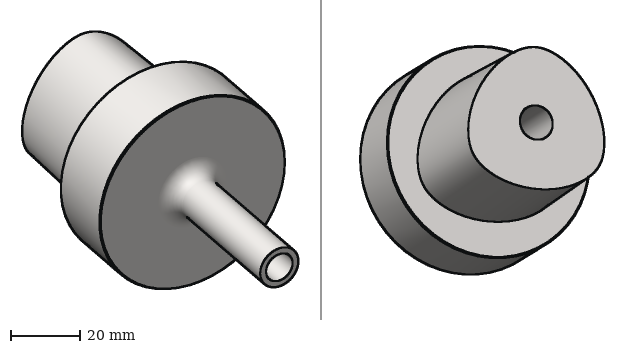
import cadquery as cq
import math

shank_length = 38.0
flange_length = 22.0
stem_length = 48.0

shank_mean_diameter = 44.2
taper_ratio = 1 / 20
lobe_eccentricity = 1.36
profile_points = 48

flange_diameter = 63.0
flange_chamfer = 0.3
stem_diameter = 13.0
stem_root_fillet = 5.0

bore_diameter = 9.0
counterbore_diameter = 10.2
counterbore_depth = shank_length

tip_mean_diameter = shank_mean_diameter - taper_ratio * shank_length
end_x = flange_length + stem_length


def lobe_profile(mean_diameter):
    """Points of a three-lobed curve of constant width with one lobe toward +Z."""
    mean_radius = mean_diameter / 2
    points = []
    for i in range(profile_points):
        angle = 2 * math.pi * i / profile_points
        y = (
            mean_radius * math.sin(angle)
            - 2 * lobe_eccentricity * math.sin(2 * angle)
            - lobe_eccentricity * math.sin(4 * angle)
        )
        z = (
            mean_radius * math.cos(angle)
            + 2 * lobe_eccentricity * math.cos(2 * angle)
            - lobe_eccentricity * math.cos(4 * angle)
        )
        points.append((y, z))
    return points


def cylinder(diameter, start_x, length):
    """Cylinder on the X axis running from start_x toward +X."""
    return cq.Workplane("YZ", origin=(start_x, 0, 0)).circle(diameter / 2).extrude(length)


def tapered_shank():
    """Loft from the smaller free end to the larger end at the flange."""
    return (
        cq.Workplane("YZ", origin=(-shank_length, 0, 0))
        .spline(lobe_profile(tip_mean_diameter), periodic=True)
        .close()
        .workplane(offset=shank_length)
        .spline(lobe_profile(shank_mean_diameter), periodic=True)
        .close()
        .loft(ruled=True)
    )


def flange():
    """Disc with both rims chamfered."""
    return cylinder(flange_diameter, 0, flange_length).faces("<X or >X").edges().chamfer(flange_chamfer)


def stem():
    """Round stem that flares into the flange through a concave quarter-round."""
    stem_radius = stem_diameter / 2
    flare_radius = stem_radius + stem_root_fillet
    flare_end_x = flange_length + stem_root_fillet
    arc_offset = stem_root_fillet * (1 - math.sqrt(0.5))
    return (
        cq.Workplane("XY")
        .moveTo(flange_length, 0)
        .lineTo(flange_length, flare_radius)
        .threePointArc(
            (flange_length + arc_offset, stem_radius + arc_offset),
            (flare_end_x, stem_radius),
        )
        .lineTo(end_x, stem_radius)
        .lineTo(end_x, 0)
        .close()
        .revolve(360, (0, 0, 0), (1, 0, 0))
    )


def stepped_bore():
    """Through bore with a wider stretch opening at the shank end."""
    bore = cylinder(bore_diameter, -shank_length, shank_length + end_x)
    counterbore = cylinder(counterbore_diameter, -shank_length, counterbore_depth)
    return bore.union(counterbore)


result = tapered_shank().union(flange()).union(stem()).cut(stepped_bore())